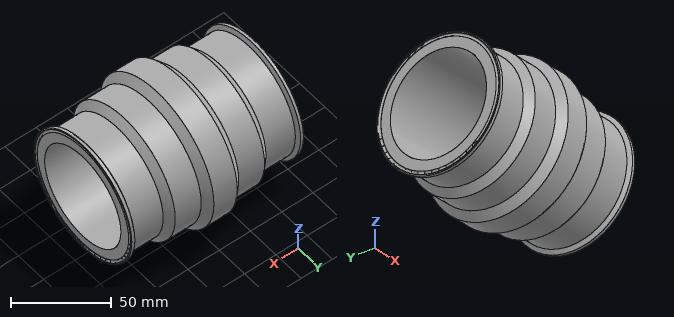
import cadquery as cq

length = 110.0
bore_radius = 60.3 / 2
neck_radius = 72.5 / 2
shoulder_radius = 81.0 / 2
belt_radius = 90.0 / 2

neck_end = 22.1
shoulder_start = 26.4
shoulder_end = 43.0
belt_start = shoulder_end + belt_radius - shoulder_radius

flange_radius = 77.5 / 2
rim_width = 2.0
flange_width = 3.3

groove_inner_radius = 36.1
groove_outer_radius = 37.8
groove_depth = 0.7
groove_edge_rounding = 0.5 / 2
edge_margin = 0.1


def turned(section):
    """Revolve a closed section a full turn around the X axis."""
    return section.revolve(360, (0, 0, 0), (1, 0, 0))


def body():
    """Tube with flanges, stepped shoulders and central belt, centred on the origin."""
    half_length = length / 2
    left_outline = [
        (-half_length, bore_radius),
        (-half_length, flange_radius),
        (rim_width - half_length, flange_radius),
        (flange_width - half_length, neck_radius),
        (neck_end - half_length, neck_radius),
        (shoulder_start - half_length, shoulder_radius),
        (shoulder_end - half_length, shoulder_radius),
        (belt_start - half_length, belt_radius),
    ]
    right_outline = [(-x, radius) for x, radius in reversed(left_outline)]
    return turned(cq.Workplane("XY").polyline(left_outline + right_outline).close())


def gasket_groove(side):
    """Ring with an arc-shaped section, sunk into the end face at side -1 or +1."""
    face_x = side * length / 2
    bottom_x = side * (length / 2 - groove_depth)
    middle_radius = (groove_inner_radius + groove_outer_radius) / 2
    return turned(
        cq.Workplane("XY")
        .moveTo(face_x, groove_inner_radius)
        .threePointArc((bottom_x, middle_radius), (face_x, groove_outer_radius))
        .close()
    )


def is_groove_edge(edge):
    """True for the circles that bound a groove, but not the bore or the rim."""
    return bore_radius + edge_margin < edge.radius() < flange_radius - edge_margin


result = body()
for side in (-1, 1):
    result = result.cut(gasket_groove(side))
for end_face in ("<X", ">X"):
    groove_edges = result.faces(end_face).edges("%CIRCLE").filter(is_groove_edge)
    result = groove_edges.fillet(groove_edge_rounding)